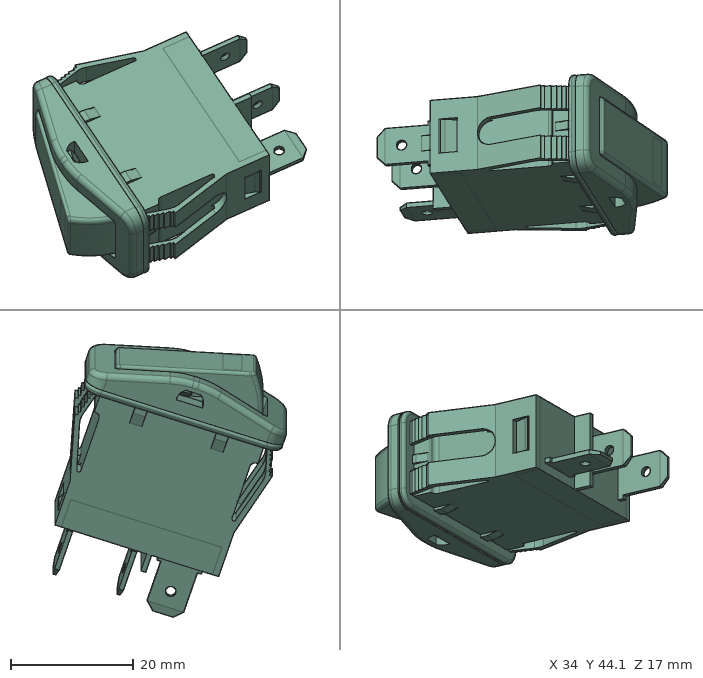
import cadquery as cq
import math


TILT = math.radians(15)
SLOPE = math.tan(TILT)
OVERLAP = 0.2

case_length = 23.75
case_half_width = 14.1
case_half_height = 6.38
core_half_width = 13.0
insert_depth = 4.95

arm_tip_x = 17.0
arm_tip_y = 4.6
arm_root_y = 15.8
arm_gap_top_y = 13.9
arm_gap_width = 0.7
arm_gap_bend_y = 5.1
arm_gap_bend_radius = 3.5
arm_slot_width = 4.8
tooth_step_ys = (4.05, 3.0, 2.15, 1.35, 0.65)
tooth_tip_x_at_flange = 15.5
tooth_depth = 0.35
arm_tip_step = 0.5

core_step_y = 3.33
core_step_concave_radius = 0.85
core_step_convex_radius = case_half_width - core_half_width - core_step_concave_radius
rib_width = 1.5
rib_height = 0.4
rib_ramp_start_y = 2.7
rib_ramp_end_y = 0.67

tab_offset = 7.0
tab_width = 2.1
tab_height = 0.47
tab_rear_y = 3.27
tab_ramp_end_y = 1.35

window_front_y = 19.2
window_rear_y = 22.25
window_height = 5.95
latch_ramp_rise = 0.65
latch_ramp_end_y = 21.3
latch_top_rise = 1.0
latch_top_y = 22.0

terminal_end_y = 33.25
blade_width = 6.3
blade_thickness = 0.8
blade_tip_chamfer = 1.4
blade_tip_thickness = 0.5
blade_hole_diameter = 1.7
blade_hole_y = 29.13
shoulder_width = 7.6
shoulder_y = 24.72
pad_width = 2.65
pad_end_y = 25.78
pad_rise = 0.15
side_blade_xs = (-11.05, 0.0)
flat_blade_x = 7.63
flat_blade_z = -4.34
barrier_x = 2.13
barrier_thickness = 0.85
barrier_end_y = 26.8

bezel_length = 34.0
bezel_height = 17.0
bezel_corner_radius = 2.9
bezel_front_fillet = 1.0
flange_thickness = 1.26
flange_corner_radius = 2.75
flange_edge_radius = 0.6
crown_y = -7.28
crown_half_flat = 0.47
crown_radius = 15.0
opening_length = 26.25
opening_height = 10.32
opening_corner_radius = 0.6

pivot_diameter = 4.52
pivot_y = -3.7
pivot_rear_y = -3.55
pivot_front_y = -5.58

rocker_half_height = 5.06
rocker_face_y = -8.51
rocker_left_x = -12.95
rocker_thickness = 4.55
rocker_end_radius = 16.25
rocker_end_center_x = -3.3
rocker_end_center_y = -0.25
rocker_end_rear_y = -3.0
rocker_skirt_x = 3.0
rocker_fillet = 0.55
rocker_end_fillet = 0.8
rocker_left_fillet = 0.6
badge_center_x = 5.32
badge_width = 3.08
badge_height = 8.1
badge_corner_radius = 0.5
badge_depth = 0.5
pin_diameter = 2.1
pin_x = -0.98
pin_y = -4.58
pin_ramp_offset = 0.15
pin_end_z = 7.0


def prism(outline, half_height):
    """Extrude a closed XY outline by half_height to each side of z = 0."""
    return outline.extrude(half_height, both=True)


def block(x0, x1, y0, y1, z0, z1):
    """Box between two corners."""
    return cq.Workplane("XY").box(x1 - x0, y1 - y0, z1 - z0, centered=False).translate((x0, y0, z0))


def with_mirror(body, plane):
    """Body joined with its mirror image."""
    return body.union(body.mirror(plane))



def make_core():
    """Case core, widened near the flange to the full case width."""
    concave_y = core_step_y + core_step_concave_radius
    concave_x = core_half_width + core_step_concave_radius
    convex_y = core_step_y - core_step_convex_radius
    half = (
        cq.Workplane("XY")
        .moveTo(0, -OVERLAP)
        .lineTo(case_half_width, -OVERLAP)
        .lineTo(case_half_width, convex_y)
        .radiusArc((concave_x, core_step_y), -core_step_convex_radius)
        .radiusArc((core_half_width, concave_y), core_step_concave_radius)
        .lineTo(core_half_width, case_length - insert_depth)
        .lineTo(0, case_length - insert_depth)
        .close()
    )
    rib_top_x = case_half_width + rib_height
    rib = (
        cq.Workplane("XY")
        .moveTo(core_half_width, -OVERLAP)
        .lineTo(rib_top_x, -OVERLAP)
        .lineTo(rib_top_x, rib_ramp_end_y)
        .lineTo(case_half_width, rib_ramp_start_y)
        .lineTo(core_half_width, rib_ramp_start_y)
        .close()
    )
    core = prism(half, case_half_height).union(prism(rib, rib_width / 2))
    return with_mirror(core, "YZ")


def make_arm_gap():
    """Gap between the right-hand arm and the core, before the core is added."""
    rear_x = core_half_width + arm_gap_width
    round_y = arm_gap_top_y - arm_gap_width / 2
    bend_x = rear_x + (round_y - arm_gap_bend_y) * SLOPE
    tangent = arm_gap_bend_radius * math.tan(TILT)
    tangent_dx = tangent * math.sin(TILT)
    tangent_dy = tangent * math.cos(TILT)
    front_x = bend_x - arm_gap_bend_y * SLOPE
    gap = (
        cq.Workplane("XY")
        .moveTo(core_half_width, 0)
        .lineTo(front_x, 0)
        .lineTo(bend_x - tangent_dx, arm_gap_bend_y - tangent_dy)
        .radiusArc((bend_x - tangent_dx, arm_gap_bend_y + tangent_dy), -arm_gap_bend_radius)
        .lineTo(rear_x, round_y)
        .radiusArc((core_half_width, round_y), -arm_gap_width / 2)
        .close()
    )
    return prism(gap, case_half_height)


def make_arm_slot():
    """Round-ended slot along the middle of the right-hand arm."""
    slot_radius = arm_slot_width / 2
    round_center_y = arm_root_y - slot_radius
    slot = block(core_half_width, arm_tip_x, 0, round_center_y, -slot_radius, slot_radius)
    round_end = (
        cq.Workplane("YZ", origin=(core_half_width, round_center_y, 0))
        .circle(slot_radius)
        .extrude(arm_tip_x - core_half_width)
    )
    return slot.union(round_end)


def make_shell_half():
    """Right half of the shell with its toothed spring arm."""
    outline = (
        cq.Workplane("XY")
        .moveTo(0, 0)
        .lineTo(0, case_length)
        .lineTo(case_half_width, case_length)
        .lineTo(case_half_width, arm_root_y)
        .lineTo(arm_tip_x, arm_tip_y)
        .lineTo(arm_tip_x - arm_tip_step, arm_tip_y)
    )
    for step_y in tooth_step_ys:
        tip_x = tooth_tip_x_at_flange + SLOPE * step_y
        root_x = tip_x - tooth_depth
        outline = outline.lineTo(tip_x, step_y).lineTo(root_x, step_y)
    outline = outline.lineTo(root_x, 0).close()
    shell = prism(outline, case_half_height)
    return shell.cut(make_arm_gap()).cut(make_arm_slot()).cut(make_latch_window())


def make_latch_window():
    """Window through the right-hand side wall, leaving the sloped snap latch inside."""
    latch_x = core_half_width + latch_ramp_rise
    top_x = core_half_width + latch_top_rise
    opening = (
        cq.Workplane("XY")
        .moveTo(case_half_width, window_front_y)
        .lineTo(core_half_width, window_front_y)
        .lineTo(latch_x, latch_ramp_end_y)
        .lineTo(top_x, latch_top_y)
        .lineTo(top_x, window_rear_y)
        .lineTo(case_half_width, window_rear_y)
        .close()
    )
    return prism(opening, window_height / 2)


def make_tab(center_x):
    """Ramped locating tab on the top of the case."""
    base_z = case_half_height - OVERLAP
    top_z = case_half_height + tab_height
    return (
        cq.Workplane("YZ", origin=(center_x - tab_width / 2, 0, 0))
        .moveTo(-OVERLAP, base_z)
        .lineTo(-OVERLAP, top_z)
        .lineTo(tab_ramp_end_y, top_z)
        .lineTo(tab_rear_y, case_half_height)
        .lineTo(tab_rear_y, base_z)
        .close()
        .extrude(tab_width)
    )


def make_insert():
    """Terminal insert, flush with the shell at the rear of the case."""
    return block(
        -core_half_width, core_half_width,
        case_length - insert_depth, case_length,
        -case_half_height, case_half_height,
    )


def make_case():
    """Shell, core and tabs, with the flush seams of the insert kept as edges."""
    insert = make_insert()
    case = with_mirror(make_shell_half(), "YZ").union(make_core())
    for side in (-1, 1):
        case = case.union(with_mirror(make_tab(side * tab_offset), "XY"))
    return case.cut(insert).union(insert, clean=False)



def make_blade():
    """Spade terminal lying flat about x = 0, z = 0, with its pad on the +Z side."""
    base_y = case_length - OVERLAP
    half_width = blade_width / 2
    half_thickness = blade_thickness / 2
    tip_start_y = terminal_end_y - blade_tip_chamfer
    tip_half_width = half_width - blade_tip_chamfer
    half_shoulder = shoulder_width / 2
    plate = (
        cq.Workplane("XY")
        .moveTo(-half_shoulder, base_y)
        .lineTo(-half_shoulder, shoulder_y)
        .lineTo(-half_width, shoulder_y)
        .lineTo(-half_width, tip_start_y)
        .lineTo(-tip_half_width, terminal_end_y)
        .lineTo(tip_half_width, terminal_end_y)
        .lineTo(half_width, tip_start_y)
        .lineTo(half_width, shoulder_y)
        .lineTo(half_shoulder, shoulder_y)
        .lineTo(half_shoulder, base_y)
        .close()
    )
    side_profile = (
        cq.Workplane("YZ")
        .moveTo(base_y, -half_thickness)
        .lineTo(tip_start_y, -half_thickness)
        .lineTo(terminal_end_y, -blade_tip_thickness / 2)
        .lineTo(terminal_end_y, blade_tip_thickness / 2)
        .lineTo(tip_start_y, half_thickness)
        .lineTo(base_y, half_thickness)
        .close()
    )
    hole = cq.Workplane("XY").center(0, blade_hole_y).circle(blade_hole_diameter / 2)
    pad = (
        cq.Workplane("YZ")
        .moveTo(base_y, 0)
        .lineTo(base_y, half_thickness + pad_rise)
        .lineTo(pad_end_y, half_thickness)
        .lineTo(pad_end_y, 0)
        .close()
    )
    blade = prism(plate, half_thickness).intersect(prism(side_profile, half_shoulder))
    return blade.union(prism(pad, pad_width / 2)).cut(prism(hole, blade_thickness))


def make_terminals():
    """Two upright blades, one flat blade and the barrier wall between them."""
    blade = make_blade()
    upright_blade = blade.rotate((0, 0, 0), (0, 1, 0), -90)
    bodies = [upright_blade.translate((x, 0, 0)) for x in side_blade_xs]
    bodies.append(blade.translate((flat_blade_x, 0, flat_blade_z)))
    bodies.append(
        block(
            barrier_x - barrier_thickness / 2, barrier_x + barrier_thickness / 2,
            case_length, barrier_end_y,
            -case_half_height, case_half_height,
        )
    )
    return bodies



def make_plate(length, height, corner_radius, rear_y, front_y):
    """Rectangular plate with rounded corners, standing square to Y."""
    return (
        cq.Workplane("XZ", origin=(0, rear_y, 0))
        .rect(length, height)
        .extrude(rear_y - front_y)
        .edges("|Y")
        .fillet(corner_radius)
    )


def make_bezel_cover():
    """Front cover of the bezel: flat flanks rising to a rounded crown."""
    half_length = bezel_length / 2
    arc_end_x = crown_half_flat + crown_radius * math.sin(TILT)
    arc_end_y = crown_y + crown_radius * (1 - math.cos(TILT))
    side_y = arc_end_y + (half_length - arc_end_x) * SLOPE
    profile = (
        cq.Workplane("XY")
        .moveTo(-half_length, -flange_thickness)
        .lineTo(-half_length, side_y)
        .lineTo(-arc_end_x, arc_end_y)
        .radiusArc((-crown_half_flat, crown_y), -crown_radius)
        .lineTo(crown_half_flat, crown_y)
        .radiusArc((arc_end_x, arc_end_y), -crown_radius)
        .lineTo(half_length, side_y)
        .lineTo(half_length, -flange_thickness)
        .close()
    )
    plate = make_plate(bezel_length, bezel_height, bezel_corner_radius, -flange_thickness, crown_y)
    cover = prism(profile, bezel_height / 2).intersect(plate)
    in_front = cq.selectors.BoxSelector(
        (-bezel_length, crown_y - OVERLAP, -bezel_height),
        (bezel_length, -flange_thickness - OVERLAP, bezel_height),
    )
    along_y = cq.selectors.ParallelDirSelector(cq.Vector(0, 1, 0))
    return cover.edges(in_front - along_y).fillet(bezel_front_fillet)


def make_pivot_window():
    """Round window flattened at front and rear, cut through both bezel walls."""
    circle = cq.Workplane("XY").center(0, pivot_y).circle(pivot_diameter / 2)
    flats = block(
        -pivot_diameter, pivot_diameter,
        pivot_front_y, pivot_rear_y,
        -bezel_height, bezel_height,
    )
    return prism(circle, bezel_height).intersect(flats)


def make_bezel():
    """Rounded rear flange and front cover with the rocker opening."""
    flange = make_plate(bezel_length, bezel_height, flange_corner_radius, 0, -flange_thickness)
    flange = flange.faces("<Y or >Y").edges().fillet(flange_edge_radius)
    opening = make_plate(
        opening_length, opening_height, opening_corner_radius,
        -flange_thickness, crown_y,
    )
    return flange.union(make_bezel_cover().cut(opening).cut(make_pivot_window()))



def make_badge():
    """Rounded rectangular badge set flush into the rocker face."""
    center_y = rocker_face_y - badge_center_x * SLOPE
    plane = cq.Plane(
        origin=(badge_center_x, center_y, 0),
        xDir=(math.cos(TILT), -math.sin(TILT), 0),
        normal=(math.sin(TILT), math.cos(TILT), 0),
    )
    return (
        cq.Workplane(plane)
        .rect(badge_width, badge_height)
        .extrude(badge_depth)
        .edges(cq.selectors.ParallelDirSelector(plane.zDir))
        .fillet(badge_corner_radius)
    )


def make_pin():
    """Pivot pin on top of the rocker with a lead-in ramp on its rear half."""
    radius = pin_diameter / 2
    base_z = rocker_half_height - OVERLAP
    pin = (
        cq.Workplane("XY", origin=(pin_x, pin_y, base_z))
        .circle(radius)
        .extrude(pin_end_z - base_z)
    )
    ramp = (
        cq.Workplane("YZ", origin=(-radius, 0, 0))
        .moveTo(-pin_ramp_offset, pin_end_z)
        .lineTo(radius, rocker_half_height)
        .lineTo(radius, pin_end_z)
        .close()
        .extrude(pin_diameter)
        .rotate((0, 0, 0), (0, 0, 1), -math.degrees(TILT))
        .translate((pin_x, pin_y, 0))
    )
    return pin.cut(ramp)


def rocker_end_y(x):
    """The y of the rounded rocker end at a given x."""
    return rocker_end_center_y - math.sqrt(rocker_end_radius**2 - (x - rocker_end_center_x) ** 2)


def make_rocker():
    """Tilted rocker, its left end seated on the floor of the bezel opening."""
    face_drop = rocker_end_center_y - (rocker_face_y - rocker_end_center_x * SLOPE)
    perpendicular = face_drop * math.cos(TILT)
    half_chord = math.sqrt(rocker_end_radius**2 - perpendicular**2)
    foot_x = rocker_end_center_x - perpendicular * math.sin(TILT)
    corner_x = foot_x + half_chord * math.cos(TILT)
    corner_y = rocker_face_y - corner_x * SLOPE
    end_rear_x = rocker_end_center_x + math.sqrt(
        rocker_end_radius**2 - (rocker_end_rear_y - rocker_end_center_y) ** 2
    )
    rear_y = rocker_face_y + rocker_thickness / math.cos(TILT)
    seat_y = -flange_thickness + OVERLAP
    profile = (
        cq.Workplane("XY")
        .moveTo(rocker_left_x, seat_y)
        .lineTo(rocker_left_x, rocker_face_y - rocker_left_x * SLOPE)
        .lineTo(corner_x, corner_y)
        .radiusArc((end_rear_x, rocker_end_rear_y), -rocker_end_radius)
        .lineTo(rocker_skirt_x, rocker_end_rear_y)
        .lineTo(rocker_skirt_x, rear_y - rocker_skirt_x * SLOPE)
        .lineTo((rear_y - seat_y) / SLOPE, seat_y)
        .close()
    )
    face_mid_x = (rocker_left_x + corner_x) / 2
    face_mid = (face_mid_x, rocker_face_y - face_mid_x * SLOPE, 0)
    end_mid_x = (corner_x + end_rear_x) / 2
    end_mid = (end_mid_x, rocker_end_y(end_mid_x), 0)
    rocker = prism(profile, rocker_half_height)
    near_face = cq.selectors.NearestToPointSelector(face_mid)
    near_end = cq.selectors.NearestToPointSelector(end_mid)
    rocker = rocker.faces("<X").edges("|Y").fillet(rocker_left_fillet)
    rocker = rocker.faces(near_end).edges("not |Z").fillet(rocker_end_fillet)
    rocker = rocker.faces(near_face).edges().fillet(rocker_fillet)
    badge = make_badge()
    pin = make_pin()
    return rocker.union(pin).union(pin.mirror("XY")).cut(badge).union(badge, clean=False)



result = make_case()
for body in [*make_terminals(), make_bezel(), make_rocker()]:
    result = result.union(body, clean=False)